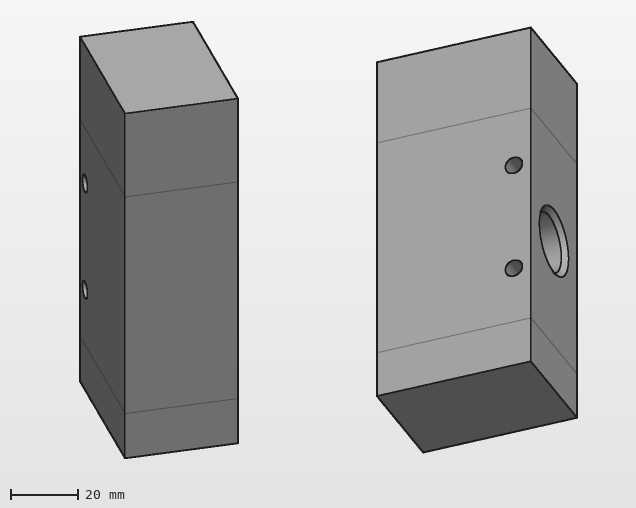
import cadquery as cq

width = 50.0
depth = 35.0
base_height = 15.3
body_height = 73.5
height = 117.0
cap_height = height - base_height - body_height

port_height = 52.0
port_bore_diameter = 18.7
port_mouth_diameter = 22.0
port_chamfer = (port_mouth_diameter - port_bore_diameter) / 2
port_depth = 20.0

mount_hole_diameter = 5.5
mount_hole_spacing = 36.0
mount_hole_edge_distance = 5.5


def block_section(bottom, section_height):
    """One rectangular section of the stacked block."""
    section = cq.Workplane("XY").box(width, depth, section_height, centered=(True, True, False))
    return section.translate((0, 0, bottom))


def stacked_block():
    """Base, body and cap fused flush, keeping the joint lines between them."""
    base = block_section(0, base_height)
    body = block_section(base_height, body_height)
    cap = block_section(base_height + body_height, cap_height)
    return base.union(body, clean=False).union(cap, clean=False)


def port_cutter():
    """Blind bore with a 45 degree chamfered mouth, revolved about its X axis."""
    mouth_x = -width / 2
    bore_radius = port_bore_diameter / 2
    profile = (
        cq.Workplane("XZ")
        .moveTo(mouth_x, 0)
        .lineTo(mouth_x, port_mouth_diameter / 2)
        .lineTo(mouth_x + port_chamfer, bore_radius)
        .lineTo(mouth_x + port_depth, bore_radius)
        .lineTo(mouth_x + port_depth, 0)
        .close()
    )
    cutter = profile.revolve(360, (0, 0, 0), (1, 0, 0))
    return cutter.translate((0, 0, port_height))


def mount_hole_cutter(hole_height):
    """Round cutter along Y, through the whole block."""
    hole_x = -width / 2 + mount_hole_edge_distance
    return (
        cq.Workplane("XZ")
        .center(hole_x, hole_height)
        .circle(mount_hole_diameter / 2)
        .extrude(depth, both=True)
    )


result = stacked_block().cut(port_cutter(), clean=False)
for side in (-1, 1):
    hole_z = port_height + side * mount_hole_spacing / 2
    result = result.cut(mount_hole_cutter(hole_z), clean=False)